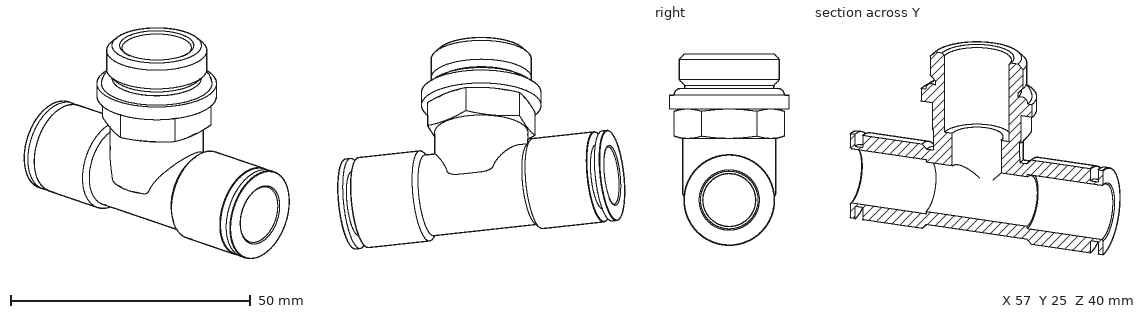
import cadquery as cq

run_length = 57.0
half_run = run_length / 2
tube_diameter = 17.0
socket_diameter = 19.0
collar_thickness = 1.15
collar_neck_diameter = 13.5
collar_neck_length = 1.65
socket_inner_x = 11.3
socket_bevel = (socket_diameter - tube_diameter) / 2
socket_edge_chamfer = 0.1
socket_bore_diameter = 12.0
socket_bore_depth = 17.1
socket_bore_chamfer = 0.3
through_bore_diameter = 11.0

branch_diameter = 19.5
branch_bottom_z = 0.45
branch_end_round = 1.0
hex_bottom_z = 12.9
hex_across_flats = 20.0
hex_chamfer_height = 0.45
flange_diameter = 25.0
flange_bottom_z = 19.0
flange_top_z = 21.9
seal_diameter = 23.1
seal_section_radius = 1.4
thread_diameter = 21.0
thread_bottom_z = 25.15
thread_neck_diameter = 18.65
thread_neck_top_z = 23.95
thread_chamfer = 1.15
total_height = 40.0
top_z = total_height - socket_diameter / 2
branch_bore_diameter = 14.5
branch_bore_floor_z = hex_bottom_z
branch_bore_chamfer = 0.5


def cylinder(diameter, bottom_z, upper_z):
    """Vertical cylinder on the branch axis."""
    return cq.Workplane("XY").workplane(offset=bottom_z).circle(diameter / 2).extrude(upper_z - bottom_z)


def run_cylinder(diameter, start_x, end_x):
    """Cylinder on the run axis."""
    return cq.Workplane("YZ").workplane(offset=start_x).circle(diameter / 2).extrude(end_x - start_x)


def mouth_flare(mouth, bore_diameter, chamfer):
    """45 degree cone widening a bore at the mouth plane, narrowing into the part."""
    return mouth.circle(bore_diameter / 2 + chamfer).extrude(-chamfer, taper=45)


def make_socket():
    """Push-in socket with its release collar on the +X end."""
    collar_inner_x = half_run - collar_thickness
    socket_outer_x = collar_inner_x - collar_neck_length
    barrel = run_cylinder(socket_diameter, socket_inner_x, socket_outer_x)
    barrel = barrel.faces("<X").chamfer(socket_bevel).faces(">X").chamfer(socket_edge_chamfer)
    neck = run_cylinder(collar_neck_diameter, socket_outer_x, collar_inner_x)
    collar = run_cylinder(socket_diameter, collar_inner_x, half_run)
    collar = collar.faces(">X").chamfer(socket_edge_chamfer)
    return barrel.union(neck).union(collar)


def make_socket_bore():
    """Tube seat of the +X socket, flared at its mouth."""
    bore = run_cylinder(socket_bore_diameter, half_run - socket_bore_depth, half_run)
    mouth = cq.Workplane("YZ").workplane(offset=half_run)
    flare = mouth_flare(mouth, socket_bore_diameter, socket_bore_chamfer)
    return bore.union(flare)


def make_hex():
    """Hexagon with corners on +Y and -Y, both ends bevelled by a turned envelope."""
    corner_radius = hex_across_flats / 3**0.5
    flat_radius = hex_across_flats / 2
    prism = (
        cq.Workplane("XY").workplane(offset=hex_bottom_z)
        .polygon(6, 2 * corner_radius).extrude(flange_bottom_z - hex_bottom_z)
        .rotate((0, 0, 0), (0, 0, 1), 90)
    )
    envelope = (
        cq.Workplane("XZ")
        .moveTo(0, hex_bottom_z)
        .lineTo(flat_radius, hex_bottom_z)
        .lineTo(corner_radius, hex_bottom_z + hex_chamfer_height)
        .lineTo(corner_radius, flange_bottom_z - hex_chamfer_height)
        .lineTo(flat_radius, flange_bottom_z)
        .lineTo(0, flange_bottom_z)
        .close()
        .revolve(360, (0, 0, 0), (0, 1, 0))
    )
    return prism.intersect(envelope)


def make_thread_end():
    """Turned end above the hexagon: flange, O-ring seal, neck and plain thread."""
    flange = cylinder(flange_diameter, flange_bottom_z, flange_top_z)
    seal_centre_radius = seal_diameter / 2 - seal_section_radius
    seal = (
        cq.Workplane("XZ")
        .center(seal_centre_radius, flange_top_z)
        .circle(seal_section_radius)
        .revolve(360, (-seal_centre_radius, 0, 0), (-seal_centre_radius, 1, 0))
    )
    thread = (
        cq.Workplane("XZ")
        .moveTo(0, flange_top_z)
        .lineTo(thread_neck_diameter / 2, flange_top_z)
        .lineTo(thread_neck_diameter / 2, thread_neck_top_z)
        .lineTo(thread_diameter / 2, thread_bottom_z)
        .lineTo(thread_diameter / 2, top_z - thread_chamfer)
        .lineTo(thread_diameter / 2 - thread_chamfer, top_z)
        .lineTo(0, top_z)
        .close()
        .revolve(360, (0, 0, 0), (0, 1, 0))
    )
    return flange.union(thread).union(seal)


def make_branch():
    """Branch barrel, rounded where its lower end meets the run."""
    barrel = cylinder(branch_diameter, branch_bottom_z, hex_bottom_z)
    return barrel.faces("<Z").edges().fillet(branch_end_round)


def make_branch_bore():
    """Wide branch bore with a bevelled mouth and a narrower hole down to the run."""
    wide = cylinder(branch_bore_diameter, branch_bore_floor_z, top_z)
    mouth = cq.Workplane("XY").workplane(offset=top_z)
    flare = mouth_flare(mouth, branch_bore_diameter, branch_bore_chamfer)
    return wide.union(flare).union(cylinder(through_bore_diameter, 0, branch_bore_floor_z))


body = run_cylinder(tube_diameter, -half_run + socket_bore_depth, half_run - socket_bore_depth)
body = body.union(make_branch()).union(make_hex()).union(make_thread_end())
socket = make_socket()
socket_bore = make_socket_bore()
body = body.union(socket).union(socket.mirror("YZ"))
body = body.cut(run_cylinder(through_bore_diameter, -half_run, half_run))
body = body.cut(socket_bore).cut(socket_bore.mirror("YZ"))
result = body.cut(make_branch_bore())